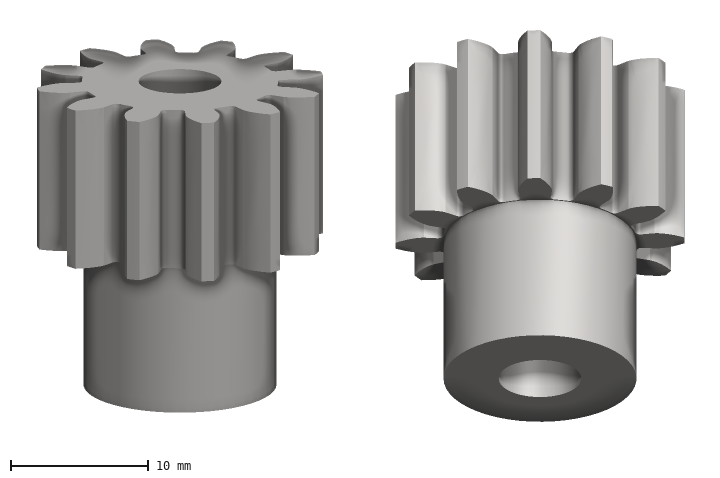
import cadquery as cq
import math

total_height = 23.0
gear_height = 12.0
hub_diameter = 14.0
bore_diameter = 6.0

tooth_count = 12
tip_diameter = 21.0
pressure_angle = math.radians(20)
dedendum_factor = 1.25
root_fillet_factor = 0.25
flank_point_count = 7

module = tip_diameter / (tooth_count + 2)
tip_radius = tip_diameter / 2
pitch_radius = module * tooth_count / 2
base_radius = pitch_radius * math.cos(pressure_angle)
root_radius = pitch_radius - dedendum_factor * module
root_fillet = root_fillet_factor * module
cutter_radius = tip_radius + module
hub_height = total_height - gear_height


def involute(angle):
    return math.tan(angle) - angle


def polar(radius, angle):
    return (radius * math.cos(angle), radius * math.sin(angle))


base_gap_angle = math.pi / (2 * tooth_count) - involute(pressure_angle)


def flank_points(side):
    """Involute from the base circle to the tips, on the +1 or -1 side of the gap."""
    points = []
    for i in range(flank_point_count):
        radius = base_radius + (tip_radius - base_radius) * i / (flank_point_count - 1)
        angle = base_gap_angle + involute(math.acos(base_radius / radius))
        points.append(polar(radius, side * angle))
    return points


def tooth_gap():
    """Solid filling the gap between two teeth, centred on +X."""
    upper = flank_points(1)
    lower = flank_points(-1)
    tip_gap_angle = math.atan2(upper[-1][1], upper[-1][0])
    gap = (
        cq.Workplane("XY")
        .workplane(offset=hub_height)
        .moveTo(*polar(root_radius, -base_gap_angle))
        .lineTo(*lower[0])
        .spline(lower[1:], includeCurrent=True)
        .lineTo(*polar(cutter_radius, -tip_gap_angle))
        .lineTo(*polar(cutter_radius, tip_gap_angle))
        .lineTo(*upper[-1])
        .spline(upper[-2::-1], includeCurrent=True)
        .lineTo(*polar(root_radius, base_gap_angle))
        .threePointArc((root_radius, 0), polar(root_radius, -base_gap_angle))
        .close()
        .extrude(gear_height)
    )
    return gap.edges("|Z").edges("<X").fillet(root_fillet)


hub = cq.Workplane("XY").circle(hub_diameter / 2).extrude(hub_height)
result = hub.faces(">Z").workplane().circle(tip_radius).extrude(gear_height)

gap = tooth_gap()
for i in range(tooth_count):
    result = result.cut(gap.rotate((0, 0, 0), (0, 0, 1), i * 360 / tooth_count))

bore = cq.Workplane("XY").circle(bore_diameter / 2).extrude(total_height)
result = result.cut(bore)